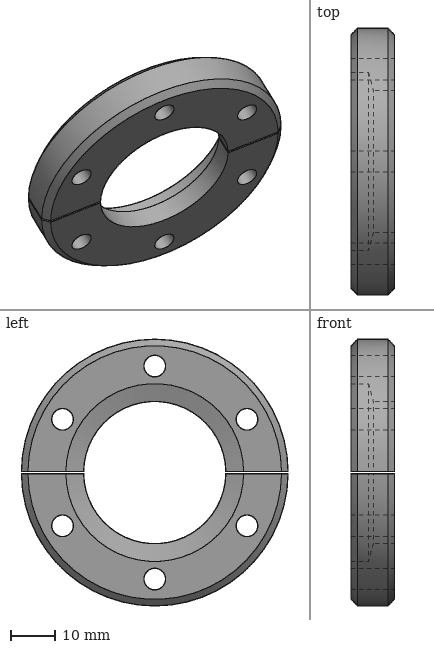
import cadquery as cq
import math

outer_radius = 30.1
thickness = 9.8
chamfer_size = 1.5
bore_radius = 16.0
recess_radius = 20.05
recess_depth = 4.0
cone_depth = 1.1

split_gap = 0.5

hole_diameter = 4.8
hole_circle_radius = 24.0
hole_count = 6

front_x = -thickness / 2
back_x = thickness / 2


def make_ring():
    """Chamfered ring with a cylindrical recess that tapers down to the bore."""
    face_radius = outer_radius - chamfer_size
    recess_end_x = front_x + recess_depth
    profile = [
        (front_x, recess_radius),
        (front_x, face_radius),
        (front_x + chamfer_size, outer_radius),
        (back_x - chamfer_size, outer_radius),
        (back_x, face_radius),
        (back_x, bore_radius),
        (recess_end_x + cone_depth, bore_radius),
        (recess_end_x, recess_radius),
    ]
    return cq.Workplane("XY").polyline(profile).close().revolve(360, (0, 0, 0), (1, 0, 0))


def make_bolt_holes():
    """Through-hole cutters, evenly spaced with the first at the top."""
    centers = []
    for index in range(hole_count):
        angle = math.pi / 2 + index * 2 * math.pi / hole_count
        centers.append((hole_circle_radius * math.cos(angle), hole_circle_radius * math.sin(angle)))
    return (
        cq.Workplane("YZ", origin=(front_x, 0, 0))
        .pushPoints(centers)
        .circle(hole_diameter / 2)
        .extrude(thickness)
    )


def make_half_ring(side):
    """Half of the drilled ring: side is +1 for the upper half, -1 for the lower half."""
    half_height = outer_radius - split_gap / 2
    half_space = cq.Workplane("XY").box(thickness, 2 * outer_radius, half_height).translate(
        (0, 0, side * (outer_radius + split_gap / 2) / 2)
    )
    half = make_ring().cut(make_bolt_holes()).intersect(half_space)
    return half.solids()


half_rings = [make_half_ring(side) for side in (1, -1)]

result = cq.Compound.makeCompound([half_ring.val() for half_ring in half_rings])